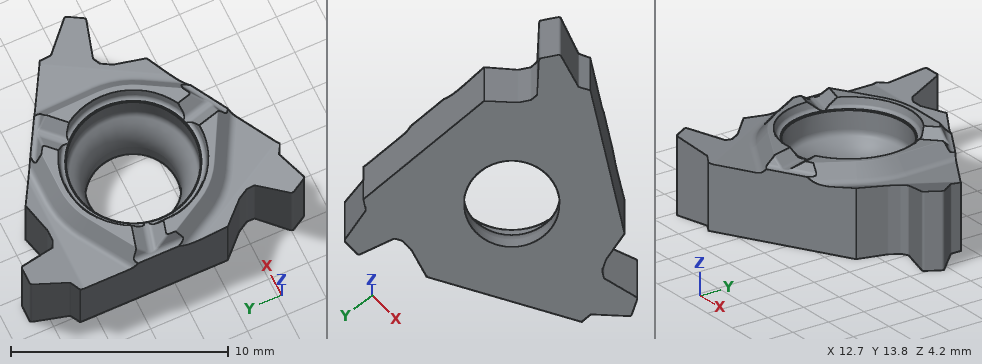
import cadquery as cq
import math

CORNERS = 3
STEP = 360 / CORNERS

BOSS_TOP = 4.2
FLOOR = 3.41
LEDGE = 3.73
SHELF = 3.68

FLANK = 4.76
TIP_Y = 7.0
TOOTH_X = -3.29
TIP_HALF = 0.5
TOOTH_ANGLE = 15
TIP_ROUND = 0.14
SHOULDER_Y = 5.2
SHOULDER_ANGLE = 30
SHOULDER_ROUND = 0.11
GULLET_Y = 5.0
GULLET_END_X = -1.38
GULLET_ROUND = 0.14
RISE_ANGLE = 15
RISE_ROUND = 0.2

RAKE_Y = 4.73
RAKE_ANGLE = 15
RAKE_ROUND = 0.41

BOSS_RADIUS = 3.74
BOSS_TAPER = 40
BOSS_FILLET = 0.41
BOSS_EDGE_ROUND = 0.05
BOSS_ARC = 31.5
BOSS_ARC_START = 90

BORE_RADIUS = 2.2
SEAT_RADIUS = 2.06
SEAT_START = 0.8
CUP_RADIUS = 3.1
CUP_ROUND = 0.44
CUP_CHAMFER = 0.05
RIM_RADIUS = 3.46
RIM_BASE_RADIUS = 3.33
RIM_ROUND = 0.22

NOTCH_ANGLE = 45
NOTCH_OFFSET = 0.07
NOTCH_HALF = 0.15
NOTCH_SLOPE = 38
NOTCH_ROUND = 0.3

STRIP = 0.08
COVE_RADIUS = 0.28
COVE_ANGLE = 60
BREAK_ROUND = 0.14

MARGIN = 0.69
REACH = 8.25


def sin(angle):
    return math.sin(math.radians(angle))


def cos(angle):
    return math.cos(math.radians(angle))


def tan(angle):
    return math.tan(math.radians(angle))


def turn(point, angle):
    x, y = point
    return (x * cos(angle) - y * sin(angle), x * sin(angle) + y * cos(angle))


def around(solid):
    """Copies of the solid for all the corners, as a list."""
    return [solid.rotate((0, 0, 0), (0, 0, 1), -STEP * i) for i in range(CORNERS)]


def rounded_outline(plane, corners):
    """Closed outline from (point, radius) pairs; radius 0 leaves a sharp corner."""
    sketch = cq.Workplane(plane)
    started = False
    for i, (point, radius) in enumerate(corners):
        corner = cq.Vector(*point)
        before = (cq.Vector(*corners[i - 1][0]) - corner).normalized()
        after = (cq.Vector(*corners[(i + 1) % len(corners)][0]) - corner).normalized()
        half_angle = before.getAngle(after) / 2
        setback = radius / math.tan(half_angle)
        bisector = (before + after).normalized()
        middle = corner + bisector * (radius / math.sin(half_angle) - radius)
        start = corner + before * setback
        end = corner + after * setback
        sketch = sketch.lineTo(start.x, start.y) if started else sketch.moveTo(start.x, start.y)
        started = True
        if radius > 0:
            sketch = sketch.threePointArc((middle.x, middle.y), (end.x, end.y))
    return sketch.close()


def corner_outline():
    """Corners of the +Y third of the outline, clockwise from the left flank."""
    root_half = TIP_HALF + (TIP_Y - SHOULDER_Y) * tan(TOOTH_ANGLE)
    left_root_x = TOOTH_X - root_half
    right_root_x = TOOTH_X + root_half
    start_y = SHOULDER_Y - (left_root_x + FLANK) * tan(SHOULDER_ANGLE)
    gullet_start_x = right_root_x + (SHOULDER_Y - GULLET_Y) / tan(SHOULDER_ANGLE)
    normal_x, normal_y = turn((-1, 0), -STEP)
    run = FLANK - GULLET_END_X * normal_x - GULLET_Y * normal_y
    run /= normal_x + tan(RISE_ANGLE) * normal_y
    return [
        ((-FLANK, start_y), 0),
        ((left_root_x, SHOULDER_Y), SHOULDER_ROUND),
        ((TOOTH_X - TIP_HALF, TIP_Y), TIP_ROUND),
        ((TOOTH_X + TIP_HALF, TIP_Y), TIP_ROUND),
        ((right_root_x, SHOULDER_Y), SHOULDER_ROUND),
        ((gullet_start_x, GULLET_Y), GULLET_ROUND),
        ((GULLET_END_X, GULLET_Y), RISE_ROUND),
        ((GULLET_END_X + run, GULLET_Y + run * tan(RISE_ANGLE)), 0),
    ]


def insert_prism():
    """Full-height block with the whole three-corner outline."""
    corners = []
    for i in range(CORNERS):
        corners += [(turn(point, -STEP * i), radius) for point, radius in corner_outline()]
    return rounded_outline("XY", corners).extrude(BOSS_TOP)


def shelf_and_boss():
    """Wide plate with the tapered boss on it, before trimming to the outline."""
    base_radius = BOSS_RADIUS + (BOSS_TOP - FLOOR) * tan(BOSS_TAPER)
    peak_lead = (STEP - BOSS_ARC) / 2
    peak = (base_radius / cos(peak_lead), 0)
    outline = cq.Workplane("XY", origin=(0, 0, FLOOR)).moveTo(*turn((base_radius, 0), BOSS_ARC_START))
    for i in range(CORNERS):
        first = BOSS_ARC_START + STEP * i
        last = first + BOSS_ARC
        outline = outline.threePointArc(
            turn((base_radius, 0), first + BOSS_ARC / 2), turn((base_radius, 0), last)
        )
        outline = outline.lineTo(*turn(peak, last + peak_lead))
        outline = outline.lineTo(*turn((base_radius, 0), first + STEP))
    boss = outline.close().extrude(BOSS_TOP - FLOOR, taper=BOSS_TAPER)
    boss = boss.faces(">Z").edges().fillet(BOSS_EDGE_ROUND)
    plate = cq.Workplane("XY").rect(3 * REACH, 3 * REACH).extrude(FLOOR)
    foot = cq.selectors.BoxSelector((-REACH, -REACH, FLOOR - 0.01), (REACH, REACH, FLOOR + 0.01))
    return plate.union(boss).edges(foot).fillet(BOSS_FILLET)


def rake_wedge():
    """Ramp added on the shelf of the +Y corner, blended where it starts."""
    far_y = TIP_Y + MARGIN
    start_y = RAKE_Y - RAKE_ROUND
    corners = [
        ((start_y, FLOOR - MARGIN), 0),
        ((start_y, FLOOR), 0),
        ((RAKE_Y, FLOOR), RAKE_ROUND),
        ((far_y, FLOOR + (far_y - RAKE_Y) * tan(RAKE_ANGLE)), 0),
        ((far_y, FLOOR - MARGIN), 0),
    ]
    return rounded_outline("YZ", corners).extrude(REACH, both=True)


def bore():
    """Through hole, rounded screw seat and cylindrical cup up to the ledge."""
    seat_centre_r = BORE_RADIUS + SEAT_RADIUS
    cup_centre_r = CUP_RADIUS - CUP_ROUND
    gap_r = seat_centre_r - cup_centre_r
    gap_z = math.sqrt((SEAT_RADIUS + CUP_ROUND) ** 2 - gap_r ** 2)
    cup_z = SEAT_START + gap_z
    slope = math.degrees(math.atan2(gap_z, gap_r))
    touch = (cup_centre_r + CUP_ROUND * cos(slope), cup_z - CUP_ROUND * sin(slope))
    seat_middle = (seat_centre_r - SEAT_RADIUS * cos(slope / 2), SEAT_START + SEAT_RADIUS * sin(slope / 2))
    cup_middle = (cup_centre_r + CUP_ROUND * cos(slope / 2), cup_z - CUP_ROUND * sin(slope / 2))
    return (
        cq.Workplane("XZ")
        .moveTo(0, -MARGIN)
        .lineTo(BORE_RADIUS, -MARGIN)
        .lineTo(BORE_RADIUS, SEAT_START)
        .threePointArc(seat_middle, touch)
        .threePointArc(cup_middle, (CUP_RADIUS, cup_z))
        .lineTo(CUP_RADIUS, LEDGE - CUP_CHAMFER)
        .lineTo(CUP_RADIUS + CUP_CHAMFER, LEDGE)
        .lineTo(0, LEDGE)
        .close()
        .revolve(360, (0, 0, 0), (0, 1, 0))
    )


def rim():
    """Flared recess above the ledge, rounded where its wall meets the ledge."""
    flare = (RIM_RADIUS - RIM_BASE_RADIUS) / (BOSS_TOP - LEDGE)
    corners = [
        ((0, LEDGE), 0),
        ((RIM_BASE_RADIUS, LEDGE), RIM_ROUND),
        ((RIM_RADIUS + flare * MARGIN, BOSS_TOP + MARGIN), 0),
        ((0, BOSS_TOP + MARGIN), 0),
    ]
    return rounded_outline("XZ", corners).revolve(360, (0, 0, 0), (0, 1, 0))


def notch():
    """V groove running outward from the axis with a flat, rounded floor."""
    top = BOSS_TOP + MARGIN
    top_half = NOTCH_HALF + (top - LEDGE) / tan(NOTCH_SLOPE)
    corners = [
        ((NOTCH_OFFSET - top_half, top), 0),
        ((NOTCH_OFFSET - NOTCH_HALF, LEDGE), NOTCH_ROUND),
        ((NOTCH_OFFSET + NOTCH_HALF, LEDGE), NOTCH_ROUND),
        ((NOTCH_OFFSET + top_half, top), 0),
    ]
    return rounded_outline("YZ", corners).extrude(REACH).rotate((0, 0, 0), (0, 0, 1), NOTCH_ANGLE)


def relief_channel():
    """Cut along the left flank: flat strip, cove, then a sloping wall."""
    cove_x = -FLANK + STRIP
    cove_z = SHELF + COVE_RADIUS
    wall = (cove_x + COVE_RADIUS * sin(COVE_ANGLE), cove_z - COVE_RADIUS * cos(COVE_ANGLE))
    middle = (cove_x + COVE_RADIUS * sin(COVE_ANGLE / 2), cove_z - COVE_RADIUS * cos(COVE_ANGLE / 2))
    top = BOSS_TOP + MARGIN
    return (
        cq.Workplane("XZ")
        .moveTo(-FLANK - MARGIN, SHELF)
        .lineTo(cove_x, SHELF)
        .threePointArc(middle, wall)
        .lineTo(channel_wall_x(top), top)
        .lineTo(-FLANK - MARGIN, top)
        .close()
        .extrude(FLANK / 2, both=True)
    )


def channel_wall_x(z):
    """Position across the left flank of the sloping channel wall at height z."""
    start_x = -FLANK + STRIP + COVE_RADIUS * sin(COVE_ANGLE)
    start_z = SHELF + COVE_RADIUS * (1 - cos(COVE_ANGLE))
    return start_x + (z - start_z) / tan(COVE_ANGLE)


def break_points():
    """One point per corner beside the edge where a notch wall meets a channel wall."""
    z = (LEDGE + BOSS_TOP) / 2
    x = channel_wall_x(z)
    direction = NOTCH_ANGLE + STEP
    side = NOTCH_OFFSET - NOTCH_HALF - (z - LEDGE) / tan(NOTCH_SLOPE)
    y = (side + x * sin(direction)) / cos(direction)
    return [(*turn((x, y), STEP * i), z) for i in range(CORNERS)]


prism = insert_prism()
result = prism.intersect(shelf_and_boss())
for wedge in around(rake_wedge().intersect(prism)):
    result = result.union(wedge)
result = result.cut(bore()).cut(rim())
for cutter in around(notch()) + around(relief_channel()):
    result = result.cut(cutter)
for point in break_points():
    edge = cq.selectors.NearestToPointSelector(point)
    result = result.edges(edge).fillet(BREAK_ROUND)